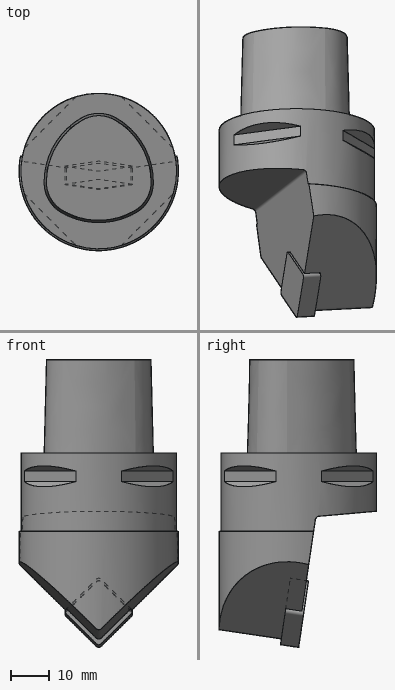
import cadquery as cq
import math

SHANK_LENGTH = 24.0
SHANK_WIDTH = 28.1
SHANK_TAPER = 1 / 20
LOBE_SPACING = 10.1

FLANGE_DIAMETER = 40.0
FLANGE_LENGTH = 20.0
HEAD_DIAMETER = 41.0
STEP_RISE = 0.2
TOOL_LENGTH = 50.0

GROOVE_COUNT = 4
GROOVE_Z = -6.0
GROOVE_DEPTH = 2.35
GROOVE_FLOOR = 2.65
GROOVE_FLANK_ANGLE = 30.0

RAKE_ANGLE = 8.4
INSERT_SIDE = 12.7
INSERT_THICKNESS = 4.76
INSERT_NOSE_RADIUS = 0.8
INSERT_PROTRUSION = 0.55

CHIP_ROOF_Z = -15.0
CHIP_ROOF_ANGLE = 5.0
CHIP_FILLET = 1.0

NOSE_SETBACK = 1.1
NOSE_RADIUS = 1.0

FLANGE_RADIUS = FLANGE_DIAMETER / 2
HEAD_RADIUS = HEAD_DIAMETER / 2
RAKE_SLOPE = math.tan(math.radians(RAKE_ANGLE))
ROOF_SLOPE = math.tan(math.radians(CHIP_ROOF_ANGLE))
CLEARANCE = 5.0

rake_plane = cq.Plane(
    origin=(0, 0, -TOOL_LENGTH),
    xDir=(-1, 0, 0),
    normal=(0, math.cos(math.radians(RAKE_ANGLE)), -math.sin(math.radians(RAKE_ANGLE))),
)


def polar(center, radius, angle):
    """Point at an angle in degrees on a circle."""
    turn = math.radians(angle)
    return (center[0] + radius * math.cos(turn), center[1] + radius * math.sin(turn))


def shank_section(sketch, width):
    """Three lobes of small radius joined by three tangent arcs of large radius."""
    lobe_radius = (width - LOBE_SPACING) / 2
    side_radius = lobe_radius + LOBE_SPACING
    lobe_distance = LOBE_SPACING / math.sqrt(3)
    sketch = sketch.moveTo(*polar(polar((0, 0), lobe_distance, 90), lobe_radius, 60))
    for lobe_angle in (90, 210, 330):
        lobe = polar((0, 0), lobe_distance, lobe_angle)
        opposite_lobe = polar((0, 0), lobe_distance, lobe_angle - 120)
        sketch = sketch.threePointArc(
            polar(lobe, lobe_radius, lobe_angle), polar(lobe, lobe_radius, lobe_angle + 30)
        )
        sketch = sketch.threePointArc(
            polar(opposite_lobe, side_radius, lobe_angle + 60),
            polar(opposite_lobe, side_radius, lobe_angle + 90),
        )
    return sketch.close()


def make_shank():
    end_width = SHANK_WIDTH - SHANK_TAPER * SHANK_LENGTH
    base = shank_section(cq.Workplane("XY"), SHANK_WIDTH)
    return shank_section(base.workplane(offset=SHANK_LENGTH), end_width).loft(ruled=True)


def make_turned_body():
    """Flange and head as one revolved profile in radius and height."""
    return (
        cq.Workplane("XZ")
        .moveTo(0, 0)
        .lineTo(FLANGE_RADIUS, 0)
        .lineTo(FLANGE_RADIUS, -FLANGE_LENGTH)
        .lineTo(HEAD_RADIUS, -FLANGE_LENGTH - STEP_RISE)
        .lineTo(HEAD_RADIUS, -TOOL_LENGTH)
        .lineTo(0, -TOOL_LENGTH)
        .close()
        .revolve(360, (0, 0), (0, 1))
    )


def make_gripper_groove(angle):
    """Straight trapezoidal groove across the flange's rim."""
    floor_radius = FLANGE_RADIUS - GROOVE_DEPTH
    outer_radius = FLANGE_RADIUS + CLEARANCE
    flank_rise = (outer_radius - floor_radius) * math.tan(math.radians(GROOVE_FLANK_ANGLE))
    half_floor = GROOVE_FLOOR / 2
    half_mouth = half_floor + flank_rise
    return (
        cq.Workplane("XZ")
        .polyline([
            (floor_radius, GROOVE_Z - half_floor),
            (outer_radius, GROOVE_Z - half_mouth),
            (outer_radius, GROOVE_Z + half_mouth),
            (floor_radius, GROOVE_Z + half_floor),
        ])
        .close()
        .extrude(FLANGE_RADIUS, both=True)
        .rotate((0, 0, 0), (0, 0, 1), angle)
    )


def make_chip_space():
    """Space in front of the rake face, under a sloping roof with a filleted corner."""
    rake_offset = INSERT_PROTRUSION / math.cos(math.radians(RAKE_ANGLE))

    def rake_y(z):
        return (z + TOOL_LENGTH) * RAKE_SLOPE - rake_offset

    def roof_z(y):
        return CHIP_ROOF_Z - (FLANGE_RADIUS - y) * ROOF_SLOPE

    outer_y = FLANGE_RADIUS + CLEARANCE
    bottom_z = -TOOL_LENGTH - CLEARANCE
    corner_y = rake_y(roof_z(0)) / (1 - RAKE_SLOPE * ROOF_SLOPE)
    return (
        cq.Workplane("YZ")
        .polyline([
            (corner_y, roof_z(corner_y)),
            (outer_y, roof_z(outer_y)),
            (outer_y, bottom_z),
            (rake_y(bottom_z), bottom_z),
        ])
        .close()
        .extrude(HEAD_DIAMETER, both=True)
        .edges(cq.selectors.NearestToPointSelector((0, corner_y, roof_z(corner_y))))
        .fillet(CHIP_FILLET)
    )


def make_nose_envelope():
    """V-shaped prism square to the rake face that bounds the head from below."""
    reach = 2 * TOOL_LENGTH
    tangent = NOSE_RADIUS * math.sin(math.radians(45))
    tangent_height = NOSE_SETBACK + tangent
    nose_height = NOSE_SETBACK + NOSE_RADIUS * (math.sqrt(2) - 1)
    return (
        cq.Workplane(rake_plane)
        .moveTo(-tangent, tangent_height)
        .threePointArc((0, nose_height), (tangent, tangent_height))
        .lineTo(reach, NOSE_SETBACK + reach)
        .lineTo(-reach, NOSE_SETBACK + reach)
        .close()
        .extrude(reach, both=True)
    )


def make_insert():
    """Square plate with rounded corners; its lowest rounded corner is the cutting tip."""
    nose_cutback = INSERT_NOSE_RADIUS * (math.sqrt(2) - 1)
    center_height = INSERT_SIDE / math.sqrt(2) - nose_cutback
    return (
        cq.Workplane(rake_plane)
        .center(0, center_height)
        .transformed(rotate=(0, 0, 45))
        .rect(INSERT_SIDE, INSERT_SIDE)
        .extrude(-INSERT_THICKNESS)
        .edges(cq.selectors.ParallelDirSelector(rake_plane.zDir))
        .fillet(INSERT_NOSE_RADIUS)
    )


def make_holder(insert):
    holder = make_turned_body()
    holder = holder.intersect(make_nose_envelope())
    holder = holder.cut(make_chip_space())
    for index in range(GROOVE_COUNT):
        holder = holder.cut(make_gripper_groove(45 + index * 360 / GROOVE_COUNT))
    holder = holder.union(make_shank())
    return holder.cut(insert)


insert = make_insert()
holder = make_holder(insert)

result = cq.Compound.makeCompound([holder.val(), insert.val()])